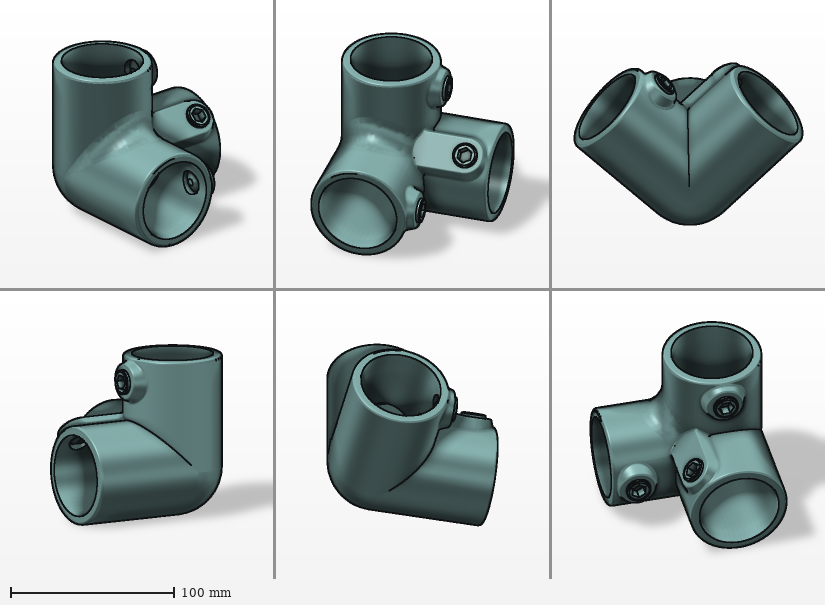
import cadquery as cq
import math

OVERALL = 100.1
LEG_RADIUS = 30.4
LEG_LENGTH = OVERALL - LEG_RADIUS
BORE_RADIUS = 25.0
CROTCH_RADIUS = 15.0
END_ROUNDING = 2.0

SCREW_DISTANCE = 55.1
BOSS_TOP = 35.0
BOSS_BASE = BORE_RADIUS
BOSS_BASE_RADIUS = 14.8
BOSS_TAPER = 20.0
BOSS_TOP_ROUNDING = 2.0
BOSS_FOOT_ROUNDING = 2.0
PAD_END = 17.3
PAD_TOP_ROUNDING = 1.0
PAD_FOOT_ROUNDING = 1.5

SCREW_RADIUS = 7.5
SCREW_TOP = 37.2
SCREW_TIP = 24.5
POINT_LENGTH = 3.6
POINT_RADIUS = 2.2
RIM_CHAMFER_WIDTH = 1.1
RIM_CHAMFER_DEPTH = 0.4
SOCKET_ACROSS_FLATS = 8.2
SOCKET_DEPTH = 6.4

TOUCHING = 0.001

CENTRE = (0, 0, 0)
X_LEG = cq.Plane(CENTRE, xDir=(1, 0, 0), normal=(0, 1, 0))
Y_LEG = cq.Plane(CENTRE, xDir=(0, 1, 0), normal=(1, 0, 1))
Z_LEG = cq.Plane(CENTRE, xDir=(0, 0, 1), normal=(0, 1, 0))
LEGS = [X_LEG, Y_LEG, Z_LEG]


def outermost(direction):
    return cq.selectors.DirectionMinMaxSelector(direction, True)


def rod(leg, radius):
    """Round bar along a leg, from the corner centre to the open end."""
    return cq.Workplane(cq.Plane(CENTRE, normal=leg.xDir)).circle(radius).extrude(LEG_LENGTH)


def ball(radius):
    return cq.Workplane("XY").sphere(radius)


def crotch_edges(body):
    """Edges where the outsides of the X and Z legs meet, in the plane x = z."""
    def in_crotch(edge):
        points = [edge.positionAt(t) for t in (0.25, 0.5, 0.75)]
        return all(p.x > 0 and math.isclose(p.x, p.z, abs_tol=TOUCHING) for p in points)

    return body.newObject([edge for edge in body.edges().vals() if in_crotch(edge)])


def elbow_blank():
    """Solid legs and ball corner, with the blend between the X and Z legs."""
    corner = rod(X_LEG, LEG_RADIUS).union(rod(Z_LEG, LEG_RADIUS)).union(ball(LEG_RADIUS))
    blended = crotch_edges(corner).fillet(CROTCH_RADIUS)
    return blended.union(rod(Y_LEG, LEG_RADIUS))


def raised_boss(leg, outline, top_rounding):
    """Extrude an outline with tapered sides and a rounded face, cut off flush with the leg's end."""
    boss = outline.extrude(BOSS_TOP - BOSS_BASE, taper=BOSS_TAPER)
    boss = boss.faces(outermost(leg.zDir)).edges().fillet(top_rounding)
    envelope = cq.Workplane("XY").box(2 * LEG_LENGTH, 2 * LEG_LENGTH, 2 * LEG_LENGTH)
    return boss.intersect(envelope)


def round_boss(leg):
    base = cq.Workplane(leg).workplane(offset=BOSS_BASE)
    outline = base.center(SCREW_DISTANCE, 0).circle(BOSS_BASE_RADIUS)
    return raised_boss(leg, outline, BOSS_TOP_ROUNDING)


def long_pad(leg):
    """Boss with a round outer end and a square inner end that reaches the other legs."""
    outline = (
        cq.Workplane(leg)
        .workplane(offset=BOSS_BASE)
        .moveTo(PAD_END, -BOSS_BASE_RADIUS)
        .lineTo(SCREW_DISTANCE, -BOSS_BASE_RADIUS)
        .threePointArc((SCREW_DISTANCE + BOSS_BASE_RADIUS, 0), (SCREW_DISTANCE, BOSS_BASE_RADIUS))
        .lineTo(PAD_END, BOSS_BASE_RADIUS)
        .close()
    )
    return raised_boss(leg, outline, PAD_TOP_ROUNDING)


def join_with_foot(body, boss, foot_rounding):
    """Add a boss and round the edges that lie on the skins of both solids."""
    joined = body.union(boss)
    skins = [solid.val().Shells()[0] for solid in (body, boss)]

    def on_both_skins(edge):
        points = [cq.Vertex.makeVertex(*edge.positionAt(t).toTuple()) for t in (0.35, 0.65)]
        return all(skin.distance(point) < TOUCHING for skin in skins for point in points)

    foot = [edge for edge in joined.edges().vals() if on_both_skins(edge)]
    return joined.newObject(foot).fillet(foot_rounding)


def screw_hole(leg):
    return cq.Workplane(leg).center(SCREW_DISTANCE, 0).circle(SCREW_RADIUS).extrude(SCREW_TOP)


def make_elbow():
    pad = long_pad(Y_LEG)
    elbow = elbow_blank()
    for leg in [X_LEG, Z_LEG]:
        elbow = join_with_foot(elbow, round_boss(leg), BOSS_FOOT_ROUNDING)
    elbow = join_with_foot(elbow, pad, PAD_FOOT_ROUNDING)
    for leg in LEGS:
        elbow = elbow.faces(outermost(leg.xDir)).edges().fillet(END_ROUNDING)

    for leg in [X_LEG, Z_LEG]:
        elbow = elbow.cut(rod(leg, BORE_RADIUS).cut(pad))
    elbow = elbow.cut(rod(Y_LEG, BORE_RADIUS)).cut(ball(BORE_RADIUS))

    for leg in LEGS:
        elbow = elbow.cut(screw_hole(leg))
    return elbow


def make_screw(leg):
    profile = (
        cq.Workplane("XZ")
        .moveTo(0, SCREW_TIP)
        .lineTo(POINT_RADIUS, SCREW_TIP)
        .lineTo(SCREW_RADIUS, SCREW_TIP + POINT_LENGTH)
        .lineTo(SCREW_RADIUS, SCREW_TOP - RIM_CHAMFER_DEPTH)
        .lineTo(SCREW_RADIUS - RIM_CHAMFER_WIDTH, SCREW_TOP)
        .lineTo(0, SCREW_TOP)
        .close()
    )
    across_corners = SOCKET_ACROSS_FLATS / math.cos(math.pi / 6)
    socket = (
        cq.Workplane("XY")
        .workplane(offset=SCREW_TOP)
        .transformed(rotate=(0, 0, 90))
        .polygon(6, across_corners)
        .extrude(-SOCKET_DEPTH)
    )
    screw = profile.revolve(360, (0, 0, 0), (0, 1, 0)).cut(socket)
    return screw.translate((SCREW_DISTANCE, 0, 0)).val().moved(cq.Location(leg))


elbow = make_elbow()
screws = [make_screw(leg) for leg in LEGS]
result = cq.Compound.makeCompound([elbow.val(), *screws])